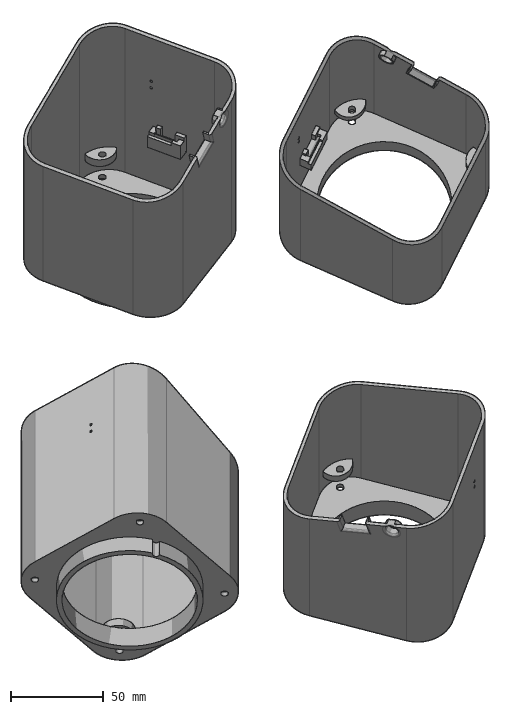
import cadquery as cq
import math

height = 120.8
side = 95.0
corner_radius = 20.0
wall = 2.0
rim_angle = 15.0
floor_thickness = 3.0

collar_height = 10.0
collar_diameter = 79.0
bore_diameter = 73.0
groove_diameter = 4.0
groove_angle = 150.0

ear_diameter = 18.4
ear_offset = 40.0
ear_bottom = 25.0
ear_thickness = 5.0
screw_offset = 36.4
screw_diameter = 4.0

pad_thickness = 2.9
opening_fillet = 1.3
port_y = 19.0
port_diameter = 7.5
port_boss_diameter = 9.1
port_depth = 4.0
notch_y = -3.3
notch_length = 15.1
notch_depth = 7.0
notch_border = 1.0

cradle_width = 20.3
cradle_reach = 6.6
cradle_height = 10.0
cradle_top = 55.2
lug_rise = 2.2
lug_reach = 2.3
left_lug_width = 2.9
lug_gap = 9.0
step_width = 1.8
step_drop = 2.2
trough_diameter = 9.0
trough_length = 13.8

pin_diameter = 1.5
pin_x = -11.4
pin_spacing = 5.0
upper_pin_z = 88.2

half_side = side / 2
inner_side = side - 2 * wall
inner_half = inner_side / 2
wall_middle = half_side - wall / 2
floor_top = collar_height + floor_thickness
ear_top = ear_bottom + ear_thickness
slope = math.radians(rim_angle)
pad_x = inner_half - pad_thickness
pad_depth = wall_middle - pad_x
corners = [(x_sign, y_sign) for x_sign in (-1, 1) for y_sign in (-1, 1)]


def rounded_prism(width, radius, bottom, top):
    """Square prism about the Z axis with rounded upright edges."""
    prism = cq.Workplane("XY", origin=(0, 0, bottom)).rect(width, width).extrude(top - bottom)
    return prism.edges("|Z").fillet(radius)


def upright_cylinder(x, y, bottom, top, diameter):
    return cq.Workplane("XY", origin=(x, y, bottom)).circle(diameter / 2).extrude(top - bottom)


def box_between(x_range, y_range, z_range):
    """Box given by its lower and upper limit along each axis."""
    limits = (x_range, y_range, z_range)
    lengths = [high - low for low, high in limits]
    low_corner = tuple(low for low, high in limits)
    return cq.Workplane("XY", origin=low_corner).box(*lengths, centered=False)


def rim_height(y):
    return height - (half_side - y) * math.tan(slope)


def rim_sketch(y, depth):
    """Sketch facing +X on the pad face, centred at the given depth below the rim point at y.

    Its local x axis runs up along the rim and its local y axis is square to the rim.
    """
    along_rim = (0, math.cos(slope), math.sin(slope))
    plane = cq.Plane(origin=(pad_x, y, rim_height(y)), xDir=along_rim, normal=(1, 0, 0))
    return cq.Workplane(plane).center(0, -depth)


outer = rounded_prism(side, corner_radius, collar_height, height)
cavity = rounded_prism(inner_side, corner_radius - wall, floor_top, height)
body = outer.cut(cavity)
body = body.union(upright_cylinder(0, 0, 0, floor_top, collar_diameter))
for x_sign, y_sign in corners:
    ear = upright_cylinder(x_sign * ear_offset, y_sign * ear_offset, ear_bottom, ear_top, ear_diameter)
    body = body.union(ear.intersect(outer))

port_rim_y = port_y - port_depth * math.sin(slope)
port_boss = rim_sketch(port_rim_y, port_depth).circle(port_boss_diameter / 2).extrude(pad_depth)
notch_pad_length = notch_length + 2 * notch_border
notch_pad_depth = notch_depth + notch_border
notch_pad = rim_sketch(notch_y, 0).rect(notch_pad_length, 2 * notch_pad_depth).extrude(pad_depth)
body = body.union(port_boss).union(notch_pad)

port = rim_sketch(port_rim_y, port_depth).circle(port_diameter / 2).extrude(side)
notch = rim_sketch(notch_y, 0).rect(notch_length, 2 * notch_depth).extrude(side)
body = body.cut(port).cut(notch)

edge_margin = 0.1
flat_half = half_side - corner_radius - edge_margin
opening_edges = cq.selectors.BoxSelector(
    (half_side - edge_margin, -flat_half, floor_top),
    (half_side + edge_margin, flat_half, height - edge_margin),
)
body = body.edges(opening_edges).fillet(opening_fillet)

above_rim = (
    cq.Workplane("YZ", origin=(-side, 0, 0))
    .moveTo(half_side, height)
    .lineTo(-half_side, rim_height(-half_side))
    .lineTo(-half_side, 2 * height)
    .lineTo(half_side, 2 * height)
    .close()
    .extrude(2 * side)
)
body = body.cut(above_rim)

half_cradle = cradle_width / 2
half_gap = lug_gap / 2
cradle_bottom = cradle_top - cradle_height
cradle_front = inner_half - cradle_reach
lug_y = inner_half - lug_reach
lug_spans = ((-half_gap - left_lug_width, -half_gap), (half_gap, half_cradle))

cradle = box_between(
    (-half_cradle, half_cradle), (cradle_front, wall_middle), (cradle_bottom, cradle_top)
)
trough = (
    cq.Workplane("YZ", origin=(-trough_length / 2, inner_half, cradle_top))
    .circle(trough_diameter / 2)
    .extrude(trough_length)
)
front_step = box_between(
    (-half_cradle, half_gap), (cradle_front, cradle_front + step_width), (cradle_top - step_drop, cradle_top)
)
cradle = cradle.cut(trough.intersect(cavity)).cut(front_step)
for lug_span in lug_spans:
    cradle = cradle.union(box_between(lug_span, (lug_y, wall_middle), (cradle_bottom, cradle_top + lug_rise)))
body = body.union(cradle)

for x_sign, y_sign in corners:
    screw_x = x_sign * screw_offset
    screw_y = y_sign * screw_offset
    body = body.cut(upright_cylinder(screw_x, screw_y, 0, ear_top, screw_diameter))
body = body.cut(upright_cylinder(0, 0, 0, floor_top, bore_diameter))

groove_x = collar_diameter / 2 * math.cos(math.radians(groove_angle))
groove_y = collar_diameter / 2 * math.sin(math.radians(groove_angle))
body = body.cut(upright_cylinder(groove_x, groove_y, 0, collar_height, groove_diameter))

for pin_z in (upper_pin_z, upper_pin_z - pin_spacing):
    pin_hole = cq.Workplane("XZ", origin=(pin_x, half_side, pin_z)).circle(pin_diameter / 2).extrude(2 * wall)
    body = body.cut(pin_hole)

result = body